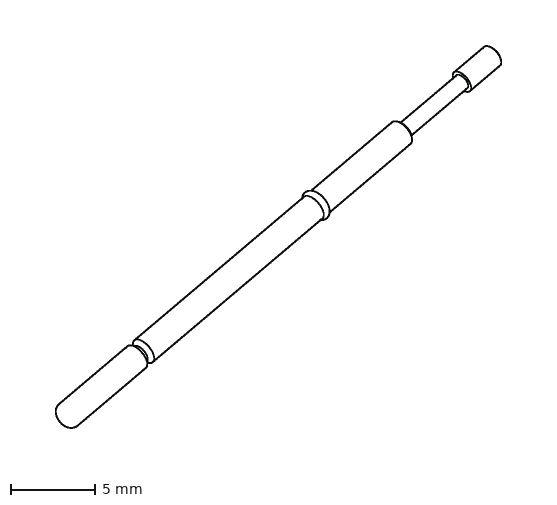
import cadquery as cq

length = 38.7

barrel_radius = 0.85
barrel_length = 30.4
barrel_lip_chamfer = 0.1
tail_round = 0.45

groove_center = 6.9
groove_width = 0.6
groove_depth = 0.25

ring_center = 22.65
ring_width = 0.5
ring_radius = 1.0

stem_radius = 0.5
head_radius = 0.75
head_length = 2.98
dome_height = 0.27

y_tail = -length / 2
y_tip = length / 2
y_barrel_end = y_tail + barrel_length


def cylinder(radius, y_start, y_end):
    """Round bar on the Y axis between two positions."""
    bar = cq.Workplane("XZ", origin=(0, y_start, 0)).circle(radius)
    return bar.extrude(y_start - y_end)


def revolve_about_y(profile):
    """Full turn of a profile whose X is the radius."""
    return profile.close().revolve(360, (0, 0, 0), (0, 1, 0))


def make_barrel():
    tube = cylinder(barrel_radius, y_tail, y_barrel_end)
    tube = tube.faces("<Y").edges().fillet(tail_round)
    return tube.faces(">Y").edges().chamfer(barrel_lip_chamfer)


def make_crimp_groove():
    y_center = y_tail + groove_center
    profile = (
        cq.Workplane("XY")
        .moveTo(barrel_radius, y_center - groove_width / 2)
        .lineTo(barrel_radius - groove_depth, y_center)
        .lineTo(barrel_radius, y_center + groove_width / 2)
    )
    return revolve_about_y(profile)


def make_press_ring():
    y_center = y_tail + ring_center
    y_low = y_center - ring_width / 2
    y_high = y_center + ring_width / 2
    profile = (
        cq.Workplane("XY")
        .moveTo(0, y_low)
        .lineTo(barrel_radius, y_low)
        .threePointArc((ring_radius, y_center), (barrel_radius, y_high))
        .lineTo(0, y_high)
    )
    return revolve_about_y(profile)


def make_plunger_head():
    y_base = y_tip - head_length
    y_rim = y_tip - dome_height
    dome_radius = (head_radius**2 + dome_height**2) / (2 * dome_height)
    profile = (
        cq.Workplane("XY")
        .moveTo(0, y_base)
        .lineTo(head_radius, y_base)
        .lineTo(head_radius, y_rim)
        .radiusArc((0, y_tip), -dome_radius)
    )
    return revolve_about_y(profile)


stem = cylinder(stem_radius, y_barrel_end, y_tip - head_length)

result = (
    make_barrel()
    .cut(make_crimp_groove())
    .union(make_press_ring())
    .union(stem)
    .union(make_plunger_head())
)